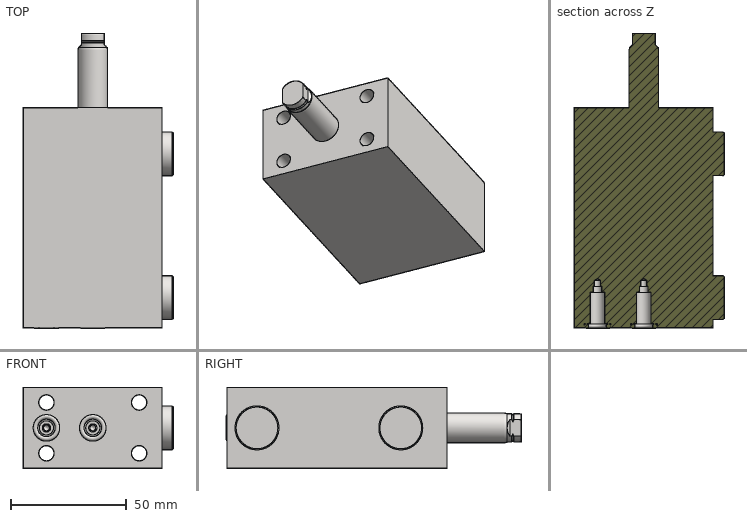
import cadquery as cq
import math

block_width = 60.0
block_length = 95.0
block_height = 35.0

hole_diameter = 6.5
hole_left_x = 10.0
hole_right_x = 50.0
hole_offset_z = 11.0

second_port_x = 30.0
port_positions_x = (hole_left_x, second_port_x)
ring_outer_diameter = 11.6
ring_tube_radius = 1.0
ring_centre_radius = ring_outer_diameter / 2 - ring_tube_radius
ring_protrusion = 0.32
seat_overlap = 0.06
seat_radius = ring_outer_diameter / 2 - seat_overlap
seat_depth = 2 * ring_tube_radius - ring_protrusion - seat_overlap
bore_radius = 3.0
bore_depth = 15.3
pilot_radius = 1.8
pilot_depth = 17.8
drill_radius = 1.3
drill_depth = 20.4
drill_point_angle = 118.0
drill_tip_depth = drill_depth + drill_radius / math.tan(math.radians(drill_point_angle / 2))

boss_diameter = 19.0
boss_height = 4.8
boss_chamfer = 0.5
boss_positions_y = (13.0, 75.0)

overall_length = 127.3
stem_x = second_port_x
stem_diameter = 12.9
stem_radius = stem_diameter / 2
tip_y = overall_length - ring_protrusion
shoulder_radius = 6.2
shoulder_y = tip_y - 6.2
shoulder_taper_length = 0.9
head_radius = 6.1
head_end_radius = 6.0
head_taper_length = 0.8
groove_y = tip_y - 3.7
groove_half_width = 0.5
groove_depth = 0.5
flat_offset = 5.0
flat_length = 5.0


def make_block():
    block = cq.Workplane("XY").box(block_width, block_length, block_height, centered=(False, False, True))
    hole_centres = [
        (x, z)
        for x in (hole_left_x, hole_right_x)
        for z in (-hole_offset_z, hole_offset_z)
    ]
    holes = cq.Workplane("XZ").pushPoints(hole_centres).circle(hole_diameter / 2).extrude(-block_length)
    return block.cut(holes)


def make_port_cavity():
    """Stepped blind hole about the Y axis, ending in a drill point."""
    profile = [
        (0, 0),
        (seat_radius, 0),
        (seat_radius, seat_depth),
        (bore_radius, seat_depth),
        (bore_radius, bore_depth),
        (pilot_radius, bore_depth),
        (pilot_radius, pilot_depth),
        (drill_radius, pilot_depth),
        (drill_radius, drill_depth),
        (0, drill_tip_depth),
    ]
    return cq.Workplane("XY").polyline(profile).close().revolve(360, (0, 0), (0, 1))


def make_ring():
    """O-ring about the Y axis, standing slightly proud of Y = 0."""
    return (
        cq.Workplane("XY")
        .center(ring_centre_radius, ring_tube_radius - ring_protrusion)
        .circle(ring_tube_radius)
        .revolve(360, (-ring_centre_radius, 0), (-ring_centre_radius, 1))
    )


def make_boss(y):
    return (
        cq.Workplane("YZ", origin=(block_width, y, 0))
        .circle(boss_diameter / 2)
        .extrude(boss_height)
        .faces(">X")
        .chamfer(boss_chamfer)
    )


def make_flat_cutter():
    """Removes everything beyond one flat, with a 45 degree run-out at its inner end."""
    run_out = stem_radius - flat_offset
    flat_end_y = tip_y - flat_length
    outline = [
        (flat_offset, tip_y),
        (flat_offset, flat_end_y),
        (flat_offset + run_out, flat_end_y - run_out),
        (flat_offset + run_out, tip_y),
    ]
    return cq.Workplane("XY").polyline(outline).close().extrude(stem_radius, both=True)


def make_stem():
    profile = [
        (0, block_length),
        (stem_radius, block_length),
        (stem_radius, shoulder_y - shoulder_taper_length),
        (shoulder_radius, shoulder_y),
        (head_radius, shoulder_y),
        (head_radius, groove_y - groove_half_width),
        (head_radius - groove_depth, groove_y),
        (head_radius, groove_y + groove_half_width),
        (head_radius, tip_y - head_taper_length),
        (head_end_radius, tip_y),
        (0, tip_y),
    ]
    stem = cq.Workplane("XY").polyline(profile).close().revolve(360, (0, 0), (0, 1))
    cutter = make_flat_cutter()
    stem = stem.cut(cutter).cut(cutter.mirror("YZ"))
    return stem.translate((stem_x, 0, 0))


result = make_block()
for port_x in port_positions_x:
    result = result.cut(make_port_cavity().translate((port_x, 0, 0)))
    result = result.union(make_ring().translate((port_x, 0, 0)))
for boss_y in boss_positions_y:
    result = result.union(make_boss(boss_y))
result = result.union(make_stem())